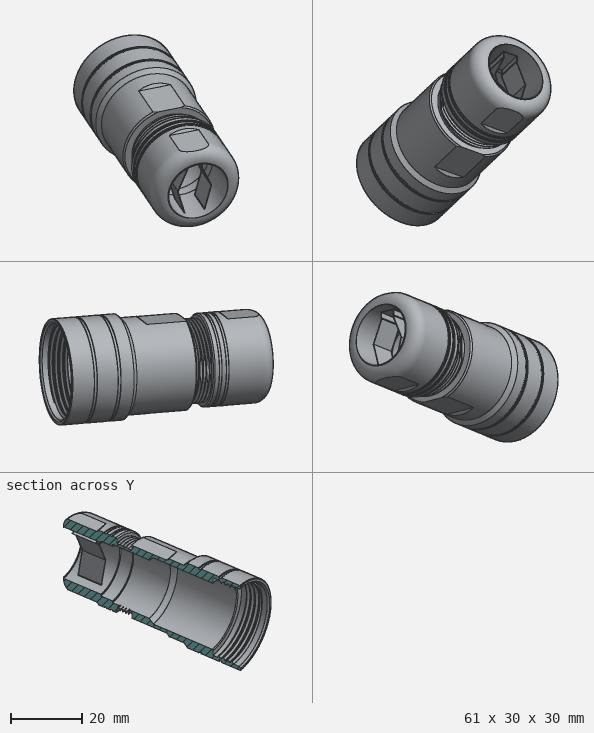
import cadquery as cq
import math


sleeve_radius = 15.0
sleeve_end = 18.25
sleeve_edge_chamfer = 0.2
sleeve_groove_depth = 0.35
sleeve_groove_width = 0.85
sleeve_groove_starts = (6.6, 13.6)

body_radius = 13.75
body_end = 37.45
body_edge_chamfer = 0.45
shoulder_end = sleeve_end + sleeve_radius - body_radius

neck_radius = 11.25
neck_thread_radius = 12.0
neck_thread_flat = 11.28
neck_thread_pitch = 1.0
neck_thread_start = 38.6
neck_thread_phase = 37.05

nut_radius = 13.25
nut_start = 42.4
nut_edge_chamfer = 0.4
nut_end_fillet = 3.8
nut_groove_depth = 0.25
nut_groove_width = 0.75
nut_groove_starts = (44.1, 46.15)
total_length = 61.0

body_flat_height = 12.9
body_flat_start = 25.4
nut_flat_height = 12.5
nut_flat_start = 49.45

mouth_radius = 14.1
socket_radius = 13.6
socket_depth = 9.4
socket_thread_radius = 12.9
socket_thread_pitch = 1.5
socket_thread_start = 2.2
socket_thread_end = 7.8
chamber_radius = 11.6
chamber_entry_chamfer = 0.3
chamber_cone_start = 30.0
neck_bore_radius = 10.2
nut_inner_face = 44.0
seal_radius = 9.6
seal_end = 48.0
clamp_bore_radius = 9.0
exit_chamfer = 0.2
exit_radius = clamp_bore_radius - exit_chamfer

strip_thickness = 0.2
strip_start = 50.0
strip_length = 8.0
strip_half_outline = [
    (2.2, 8.0),
    (2.2, 6.3),
    (2.0, 6.1),
    (5.0, -0.9),
    (2.9, -8.8),
]

cut_clearance = 1.0

ridge_root_ratio = 0.9
ridge_crest_ratio = 0.12
ridge_embed = 0.1


def turned(points):
    """Solid of revolution about X from (X, radius) points."""
    return cq.Workplane("XY").polyline(points).close().revolve(360, (0, 0, 0), (1, 0, 0))


def cylinder(start, end, radius):
    return cq.Workplane("YZ").workplane(offset=start).circle(radius).extrude(end - start)


def ring(start, width, inner_radius, outer_radius):
    return cylinder(start, start + width, outer_radius).cut(cylinder(start, start + width, inner_radius))


def thread_ridge(wall_radius, crest_radius, pitch, phase, turns):
    """Right-handed helical ridge about X that crosses the +Z side at X = phase."""
    rise = math.copysign(1, crest_radius - wall_radius)
    root_radius = wall_radius - rise * ridge_embed
    root_half = pitch * ridge_root_ratio / 2
    crest_half = pitch * ridge_crest_ratio / 2
    helix = cq.Wire.makeHelix(pitch, pitch * turns, wall_radius)
    ridge = (
        cq.Workplane("XZ")
        .polyline([
            (root_radius, -root_half),
            (crest_radius, -crest_half),
            (crest_radius, crest_half),
            (root_radius, root_half),
        ])
        .close()
        .sweep(cq.Workplane(helix), isFrenet=True)
    )
    ridge = ridge.rotate((0, 0, 0), (0, 1, 0), 90)
    ridge = ridge.rotate((0, 0, 0), (1, 0, 0), 180)
    return ridge.translate((phase, 0, 0))


def make_shell():
    shell = turned([
        (0, 0),
        (0, sleeve_radius - sleeve_edge_chamfer),
        (sleeve_edge_chamfer, sleeve_radius),
        (sleeve_end, sleeve_radius),
        (shoulder_end, body_radius),
        (body_end - body_edge_chamfer, body_radius),
        (body_end, body_radius - body_edge_chamfer),
        (body_end, neck_radius),
        (nut_start, neck_radius),
        (nut_start, nut_radius - nut_edge_chamfer),
        (nut_start + nut_edge_chamfer, nut_radius),
        (total_length, nut_radius),
        (total_length, 0),
    ])
    return shell.faces(">X").edges().fillet(nut_end_fillet)


def cut_grooves(shell):
    for start in sleeve_groove_starts:
        floor_radius = sleeve_radius - sleeve_groove_depth
        shell = shell.cut(ring(start, sleeve_groove_width, floor_radius, sleeve_radius + cut_clearance))
    for start in nut_groove_starts:
        floor_radius = nut_radius - nut_groove_depth
        shell = shell.cut(ring(start, nut_groove_width, floor_radius, nut_radius + cut_clearance))
    return shell


def flat_cutter(start, end, height):
    """Block above +height whose start face leans back at 45 degrees."""
    clearance = sleeve_radius - height
    return (
        cq.Workplane("XZ")
        .polyline([
            (start, height),
            (end, height),
            (end, height + clearance),
            (start - clearance, height + clearance),
        ])
        .close()
        .extrude(sleeve_radius, both=True)
    )


def cut_flats(shell):
    flats = (
        (body_flat_start, body_end, body_flat_height),
        (nut_flat_start, total_length, nut_flat_height),
    )
    for start, end, height in flats:
        cutter = flat_cutter(start, end, height)
        shell = shell.cut(cutter).cut(cutter.mirror("XY"))
    return shell


def make_bore():
    mouth_chamfer = mouth_radius - socket_radius
    cone_end = chamber_cone_start + chamber_radius - neck_bore_radius
    return turned([
        (0, 0),
        (0, mouth_radius),
        (mouth_chamfer, socket_radius),
        (socket_depth, socket_radius),
        (socket_depth, chamber_radius + chamber_entry_chamfer),
        (socket_depth + chamber_entry_chamfer, chamber_radius),
        (chamber_cone_start, chamber_radius),
        (cone_end, neck_bore_radius),
        (nut_inner_face, neck_bore_radius),
        (nut_inner_face, seal_radius),
        (seal_end, seal_radius),
        (seal_end, clamp_bore_radius),
        (total_length - exit_chamfer, clamp_bore_radius),
        (total_length, exit_radius),
        (total_length, 0),
    ])


def make_neck_thread():
    """Outer thread of the neck, cut away by a flat on each of the +Y and -Y sides."""
    length = nut_start - neck_thread_start
    turns = math.ceil((nut_start - neck_thread_phase) / neck_thread_pitch) + 1
    ridge = thread_ridge(neck_radius, neck_thread_radius, neck_thread_pitch, neck_thread_phase, turns)
    trim = cq.Workplane("XY").box(length, 2 * neck_thread_flat, 2 * sleeve_radius)
    return ridge.intersect(trim.translate((neck_thread_start + length / 2, 0, 0)))


def make_socket_thread():
    length = socket_thread_end - socket_thread_start
    phase = socket_thread_start - socket_thread_pitch
    turns = math.ceil(length / socket_thread_pitch) + 2
    ridge = thread_ridge(socket_radius, socket_thread_radius, socket_thread_pitch, phase, turns)
    return ridge.intersect(cylinder(socket_thread_start, socket_thread_end, sleeve_radius))


def make_strip():
    other_half = [(-y, z) for y, z in reversed(strip_half_outline)]
    outline = cq.Workplane("YZ").workplane(offset=strip_start).polyline(other_half + strip_half_outline)
    return outline.offset2D(strip_thickness / 2).extrude(strip_length)


shell = cut_flats(cut_grooves(make_shell())).cut(make_bore())
result = shell.union(make_neck_thread()).union(make_socket_thread()).union(make_strip())